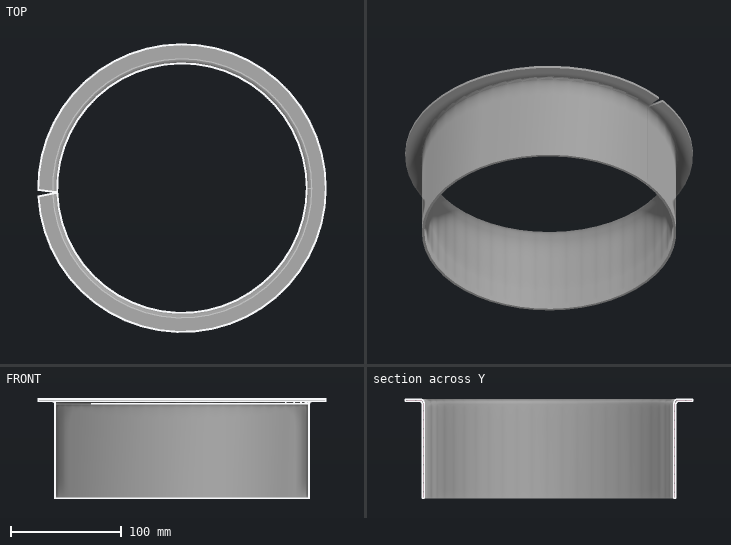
import cadquery as cq
import math

flange_radius = 130.0
height = 90.0
wall_radius = 115.0
thickness = 2.3
outer_bend = 2.0
split_angle = 182.0
slit_width = 0.8
notch_width = 5.7
overshoot = 2.5

bore_radius = wall_radius - thickness
inner_bend = outer_bend + thickness
bend_center_radius = wall_radius + outer_bend
bend_center_z = height - inner_bend
flange_bottom = height - thickness


def arc_middle(radius):
    """Point halfway along a bend arc, between the tube and the flange."""
    offset = radius * math.cos(math.radians(45))
    return (bend_center_radius - offset, bend_center_z + offset)


def flanged_tube():
    """Revolve the bent sheet section about Z."""
    section = (
        cq.Workplane("XZ")
        .moveTo(bore_radius, 0)
        .lineTo(wall_radius, 0)
        .lineTo(wall_radius, bend_center_z)
        .threePointArc(arc_middle(outer_bend), (bend_center_radius, flange_bottom))
        .lineTo(flange_radius, flange_bottom)
        .lineTo(flange_radius, height)
        .lineTo(bend_center_radius, height)
        .threePointArc(arc_middle(inner_bend), (bore_radius, bend_center_z))
        .close()
    )
    return section.revolve(360, (0, 0), (0, 1))


def split_cutter():
    """Narrow slit through the wall that widens into a V across the flange."""
    half_slit = slit_width / 2
    half_notch = notch_width / 2
    slope = (half_notch - half_slit) / (flange_radius - wall_radius)
    outer_end = flange_radius + overshoot
    half_end = half_notch + slope * overshoot
    inner_end = bore_radius - overshoot
    outline = [
        (inner_end, -half_slit),
        (wall_radius, -half_slit),
        (outer_end, -half_end),
        (outer_end, half_end),
        (wall_radius, half_slit),
        (inner_end, half_slit),
    ]
    cutter = cq.Workplane("XY").polyline(outline).close().extrude(height)
    return cutter.rotate((0, 0, 0), (0, 0, 1), split_angle)


result = flanged_tube().cut(split_cutter())